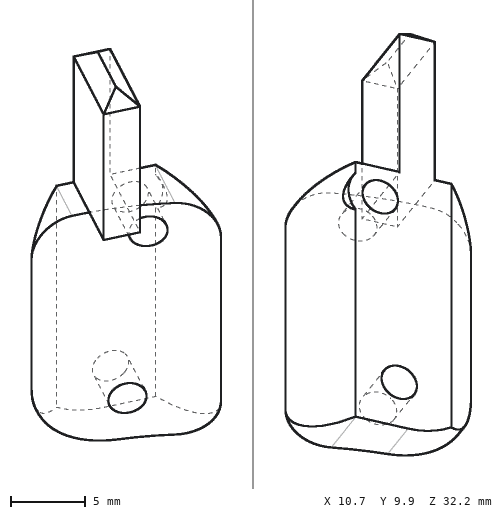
import cadquery as cq
import math

turn_angle = 45

total_height = 32.2
plate_height = 20.2

tang_width = 2.58
tang_depth = 6.4
tip_height = 1.05
tip_inset = tang_width / 2

back_y = tang_depth / 2
back_left_x = -2.48
back_right_x = 4.5
front_left_x = -5.45
front_right_x = 7.4
hollow_radius = 25.75
hollow_crest_x = -2.25
hollow_crest_y = -0.13

corner_radius = 2.93
large_corner_radius = 6.12

hole_diameter = 2.58
upper_hole_x = 2.7
lower_hole_x = 1.32
lower_hole_z = 3.5
boss_radius = 2.32
upper_hole_z = plate_height - boss_radius
boss_depth = 1.93
through_length = 12.88


def hollow_y(x):
    """Y of the cylindrical hollow front at a given X."""
    drop = hollow_radius - math.sqrt(hollow_radius**2 - (x - hollow_crest_x) ** 2)
    return hollow_crest_y - drop


def rod_along_y(x, z, radius, length):
    """Cylinder running forward from the back plane."""
    plane = cq.Workplane("XZ", origin=(0, back_y, 0))
    return plane.center(x, z).circle(radius).extrude(length)


def make_plate():
    middle_x = (front_left_x + front_right_x) / 2
    section = (
        cq.Workplane("XY")
        .moveTo(back_left_x, back_y)
        .lineTo(front_left_x, hollow_y(front_left_x))
        .threePointArc(
            (middle_x, hollow_y(middle_x)),
            (front_right_x, hollow_y(front_right_x)),
        )
        .lineTo(back_right_x, back_y)
        .close()
        .extrude(plate_height)
    )
    face_width = front_right_x - front_left_x
    face = (
        cq.Workplane("XZ")
        .center(middle_x, plate_height / 2)
        .rect(face_width, plate_height)
        .extrude(through_length, both=True)
    )
    face = face.edges("|Y and (>X or >Z)").fillet(corner_radius)
    face = face.edges("|Y and <X and <Z").fillet(large_corner_radius)
    return section.intersect(face)


def gabled_profile(plane, width):
    """Rectangle with sloping shoulders, extruded well past the tang."""
    half_width = width / 2
    half_top = half_width - tip_inset
    shoulder_z = total_height - tip_height
    points = [
        (-half_width, plate_height),
        (half_width, plate_height),
        (half_width, shoulder_z),
        (half_top, total_height),
    ]
    if half_top > 0:
        points.append((-half_top, total_height))
    points.append((-half_width, shoulder_z))
    return cq.Workplane(plane).polyline(points).close().extrude(through_length, both=True)


def make_tang():
    return gabled_profile("XZ", tang_width).intersect(gabled_profile("YZ", tang_depth))


boss = rod_along_y(upper_hole_x, upper_hole_z, boss_radius, boss_depth)
part = make_plate().union(boss).union(make_tang())

for hole_x, hole_z in [(upper_hole_x, upper_hole_z), (lower_hole_x, lower_hole_z)]:
    part = part.cut(rod_along_y(hole_x, hole_z, hole_diameter / 2, through_length))

result = part.rotate((0, 0, 0), (0, 0, 1), turn_angle)